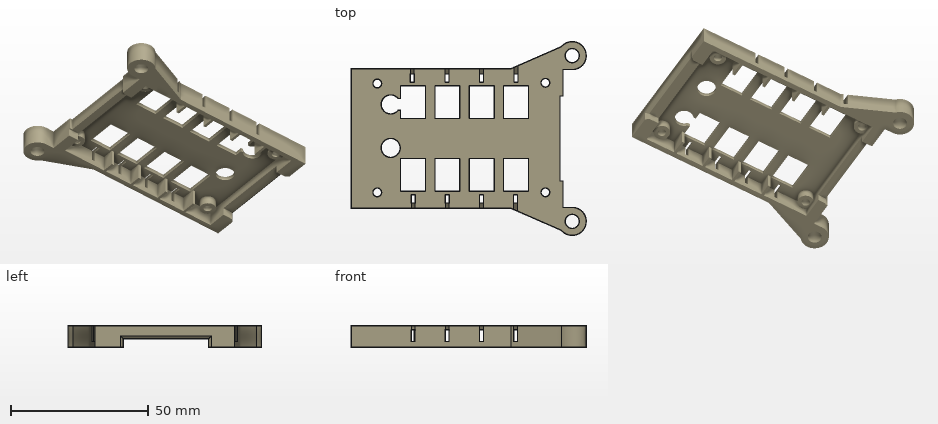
import cadquery as cq
import math

length = 85.7
width = 70.7
height = 7.9

body_half_width = 25.4
ear_radius = 5.1
ear_hole_diameter = 5.05
ear_x = length - ear_radius
ear_y = width / 2 - ear_radius
flare_start_x = 58.2
flare_end_x = 76.6
flare_end_y = ear_y + math.sqrt(ear_radius**2 - (ear_x - flare_end_x) ** 2)
end_x = 77.2
end_recess_depth = 1.0
end_recess_half_width = 15.4

plate_thickness = 1.5
ceiling_z = height - plate_thickness
side_wall = 2.0
hollow_half_width = body_half_width - side_wall
front_wall = 5.1
rear_wall_x = 73.0

tunnel_height = 3.1
tunnel_width = 31.0
tunnel_y = -0.4
tunnel_chamfer = 1.1

window_length = 9.0
window_width = 11.8
window_pitch = 12.5
window_first_x = 22.5
window_y = 13.3
window_count = 4

slot_width = 1.4
slot_inner_y = 20.6
slot_floor_z = 2.1
slot_rows = [(1, 22.3, 12.6), (-1, 22.6, 12.4)]

rib_thickness = 1.0
rib_first_x = 29.4
rib_end_y = 18.85
end_rib_x = 17.3
end_rib_end_y = 17.9

screw_diameter = 3.1
boss_diameter = 6.0
screw_points = [(9.5, 20.05), (70.75, 20.3), (9.5, -19.6), (70.75, -19.6)]

round_diameter = 6.85
round_x = 14.4
plain_round_y = -3.4
keyhole_y = 12.4
keyhole_neck_width = 4.2


def block(x_range, y_range, z_range):
    """Axis-aligned box between pairs of limits."""
    (x0, x1), (y0, y1), (z0, z1) = sorted(x_range), sorted(y_range), sorted(z_range)
    return cq.Workplane("XY").box(x1 - x0, y1 - y0, z1 - z0, centered=False).translate((x0, y0, z0))


def drill(points, diameter):
    """Vertical cylinders through the full height."""
    return cq.Workplane("XY").pushPoints(points).circle(diameter / 2).extrude(height)


def outer_body():
    """Solid body with a flared, eared end and a shallow recess between the ears."""
    recess_x = end_x - end_recess_depth
    ear_inner_y = ear_y - ear_radius
    return (
        cq.Workplane("XY")
        .moveTo(0, -body_half_width)
        .lineTo(flare_start_x, -body_half_width)
        .lineTo(flare_end_x, -flare_end_y)
        .threePointArc((length, -ear_y), (ear_x, -ear_inner_y))
        .lineTo(end_x, -ear_inner_y)
        .lineTo(end_x, -end_recess_half_width)
        .lineTo(recess_x, -end_recess_half_width)
        .lineTo(recess_x, end_recess_half_width)
        .lineTo(end_x, end_recess_half_width)
        .lineTo(end_x, ear_inner_y)
        .lineTo(ear_x, ear_inner_y)
        .threePointArc((length, ear_y), (flare_end_x, flare_end_y))
        .lineTo(flare_start_x, body_half_width)
        .lineTo(0, body_half_width)
        .close()
        .extrude(height)
    )


def tunnel():
    """Passage through both end walls, widened by a chamfer at the straight end."""
    y_low = tunnel_y - tunnel_width / 2
    y_high = tunnel_y + tunnel_width / 2
    passage = block((0, length), (y_low, y_high), (0, tunnel_height))

    mouth = (
        cq.Workplane("YZ")
        .center(tunnel_y, 0)
        .rect(tunnel_width + 2 * tunnel_chamfer, 2 * (tunnel_height + tunnel_chamfer))
        .workplane(offset=tunnel_chamfer)
        .rect(tunnel_width, 2 * tunnel_height)
        .loft(ruled=True)
    )
    return passage.union(mouth)


def ribs():
    """Short ribs from each side wall, between the bays and before the first one."""
    rib_ends = [(end_rib_x, end_rib_end_y)]
    for i in range(window_count - 1):
        rib_ends.append((rib_first_x + i * window_pitch, rib_end_y))
    solids = cq.Workplane("XY")
    for x, y_end in rib_ends:
        x_range = (x - rib_thickness / 2, x + rib_thickness / 2)
        for side in (1, -1):
            solids = solids.union(block(x_range, (side * y_end, side * hollow_half_width), (0, ceiling_z)))
    return solids


def bosses():
    """Round bosses under the plate at the screw holes, stopping level with the tunnel roof."""
    return (
        cq.Workplane("XY", origin=(0, 0, tunnel_height))
        .pushPoints(screw_points)
        .circle(boss_diameter / 2)
        .extrude(ceiling_z - tunnel_height)
    )


def windows():
    """Two rows of rectangular openings."""
    centres = []
    for i in range(window_count):
        for side in (1, -1):
            centres.append((window_first_x + i * window_pitch, side * window_y))
    return (
        cq.Workplane("XY", origin=(0, 0, ceiling_z))
        .pushPoints(centres)
        .rect(window_length, window_width)
        .extrude(plate_thickness)
    )


def slots():
    """Slots cut down through the plate edge and most of the side walls."""
    solids = cq.Workplane("XY")
    for side, first_x, pitch in slot_rows:
        for i in range(window_count):
            x = first_x + i * pitch
            x_range = (x - slot_width / 2, x + slot_width / 2)
            y_range = (side * slot_inner_y, side * width / 2)
            solids = solids.union(block(x_range, y_range, (slot_floor_z, height)))
    return solids


def keyhole_neck():
    """Passage joining the keyhole to the first window."""
    half_neck = keyhole_neck_width / 2
    y_range = (keyhole_y - half_neck, keyhole_y + half_neck)
    return block((round_x, window_first_x), y_range, (ceiling_z, height))


hollow = block(
    (front_wall, rear_wall_x),
    (-hollow_half_width, hollow_half_width),
    (0, ceiling_z),
)

result = outer_body().cut(hollow).cut(tunnel())
result = result.union(ribs()).union(bosses())
result = result.cut(windows()).cut(slots()).cut(keyhole_neck())
result = result.cut(drill([(round_x, plain_round_y), (round_x, keyhole_y)], round_diameter))
result = result.cut(drill(screw_points, screw_diameter))
result = result.cut(drill([(ear_x, ear_y), (ear_x, -ear_y)], ear_hole_diameter))